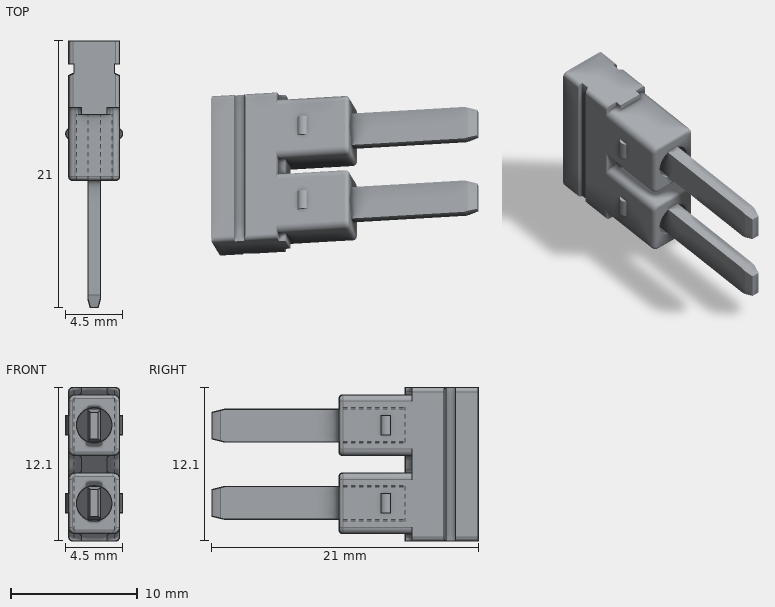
import cadquery as cq


overall_width = 4.5
total_length = 21.0
housing_height = 12.1
housing_width = 4.01

head_length = 5.25
head_edge_radius = 0.34

groove_start = 1.83
groove_floor_end = 2.55
groove_end = 2.73
groove_depth = 0.4

leg_end = 10.98
leg_height = 4.79
leg_pitch = 6.15
leg_edge_radius = 0.5
leg_front_radius = 0.3
leg_centers = [-leg_pitch / 2, leg_pitch / 2]

tongue_end = 5.78
tongue_width = 2.0
tongue_flare_radius = 0.25

rib_position = 7.3
rib_radius = 0.42
rib_height = 1.51
rib_projection = (overall_width - housing_width) / 2

opening_diameter = 2.8
opening_floor = tongue_end
blade_pitch = 6.1
blade_thickness = 1.0
blade_height = 2.6
blade_side_taper_inset = 0.19
blade_end_taper_inset = 0.25
blade_side_taper_length = 0.7
blade_end_taper_length = 1.0
blade_centers = [-blade_pitch / 2, blade_pitch / 2]


def bar(width, height, start, end, z_center=0.0):
    """Rectangular bar centred on X that runs forward from -start to -end in Y."""
    length = end - start
    return cq.Workplane("XY").box(width, length, height).translate((0, -start - length / 2, z_center))


def make_head():
    head = bar(housing_width, housing_height, 0, head_length).edges("|Y").fillet(head_edge_radius)
    side = housing_width / 2
    floor = side - groove_depth
    groove = (
        cq.Workplane("XY", origin=(0, 0, -housing_height / 2))
        .moveTo(floor, -groove_start)
        .lineTo(side, -groove_start)
        .lineTo(side, -groove_end)
        .lineTo(floor, -groove_floor_end)
        .close()
        .extrude(housing_height)
    )
    return head.cut(groove).cut(groove.mirror("YZ"))


def make_tongue():
    """Web whose sides flare out with a fillet where they meet the legs."""
    flared_width = tongue_width + 2 * tongue_flare_radius
    tongue = bar(flared_width, housing_height, head_length, tongue_end)
    gap_height = leg_pitch - leg_height
    for side in (-1, 1):
        for z_center in (-leg_pitch, 0, leg_pitch):
            notch = (
                bar(housing_width, gap_height, head_length, tongue_end, z_center)
                .edges("|Y")
                .fillet(tongue_flare_radius)
                .translate((side * (tongue_width + housing_width) / 2, 0, 0))
            )
            tongue = tongue.cut(notch)
    return tongue


def make_leg(z_center):
    leg = (
        bar(housing_width, leg_height, head_length, leg_end, z_center)
        .edges("|Y")
        .fillet(leg_edge_radius)
        .faces("<Y")
        .edges()
        .fillet(leg_front_radius)
    )
    rib_offset = housing_width / 2 + rib_projection - rib_radius
    ribs = (
        cq.Workplane("XY", origin=(0, -rib_position, z_center - rib_height / 2))
        .pushPoints([(-rib_offset, 0), (rib_offset, 0)])
        .circle(rib_radius)
        .extrude(rib_height)
    )
    return leg.union(ribs)


def make_opening(z_center):
    """Blind round opening in the front of a leg, down to its flat floor."""
    return (
        cq.Workplane("XZ", origin=(0, -opening_floor, z_center))
        .circle(opening_diameter / 2)
        .extrude(leg_end - opening_floor)
    )


def make_blade(z_center):
    """Flat blade standing on the opening floor, with all four faces tapered at the tip."""
    half_thickness = blade_thickness / 2
    half_height = blade_height / 2
    plan = (
        cq.Workplane("XY", origin=(0, 0, -half_height))
        .moveTo(-half_thickness, -opening_floor)
        .lineTo(half_thickness, -opening_floor)
        .lineTo(half_thickness, -total_length + blade_side_taper_length)
        .lineTo(half_thickness - blade_side_taper_inset, -total_length)
        .lineTo(-half_thickness + blade_side_taper_inset, -total_length)
        .lineTo(-half_thickness, -total_length + blade_side_taper_length)
        .close()
        .extrude(blade_height)
    )
    elevation = (
        cq.Workplane("YZ", origin=(-half_thickness, 0, 0))
        .moveTo(-opening_floor, -half_height)
        .lineTo(-opening_floor, half_height)
        .lineTo(-total_length + blade_end_taper_length, half_height)
        .lineTo(-total_length, half_height - blade_end_taper_inset)
        .lineTo(-total_length, -half_height + blade_end_taper_inset)
        .lineTo(-total_length + blade_end_taper_length, -half_height)
        .close()
        .extrude(blade_thickness)
    )
    return plan.intersect(elevation).translate((0, 0, z_center))


blades = [make_blade(z_center) for z_center in blade_centers]

housing = make_head().union(make_tongue())
for leg_center in leg_centers:
    housing = housing.union(make_leg(leg_center))
for leg_center in leg_centers:
    housing = housing.cut(make_opening(leg_center))
for blade in blades:
    housing = housing.cut(blade)

result = cq.Compound.makeCompound([housing.val(), *[blade.val() for blade in blades]])